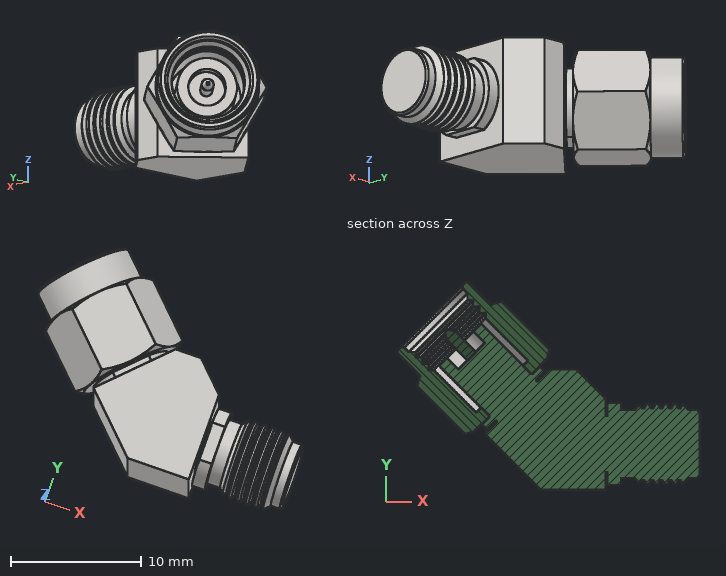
import cadquery as cq
import math

PLUG_ANGLE = 135.0

BLOCK_HEIGHT = 8.5
FACE_HALF_WIDTH = 3.5
JACK_FACE = 3.53
PLUG_FACE = 4.62

NECK_RADIUS = 2.18
NECK_LENGTH = 0.15
COLLAR_RADIUS = 3.15
COLLAR_FLAT = 2.76

THREAD_PITCH = 0.7
THREAD_MAJOR_RADIUS = 3.09

JACK_LENGTH = 7.25
JACK_COLLAR_END = 1.18
JACK_BARREL_RADIUS = 2.62
JACK_TIP_CHAMFER = 0.16
JACK_THREAD_START = 2.23
JACK_FIRST_CREST = 2.58
JACK_FIRST_CREST_RADIUS = 3.05
JACK_FIRST_ROOT = 2.88
JACK_GROOVES = 5
JACK_ROOT_RADIUS = 2.76
JACK_ROOT_FLAT = 0.15
JACK_GROOVE_MOUTH = 0.46

PLUG_COLLAR_END = 0.7
NUT_LENGTH = 8.57
HEX_LENGTH = 5.95
HEX_ACROSS_FLATS = 7.96
HEX_CHAMFER_ANGLE = 30.0
NUT_SLEEVE_RADIUS = 3.88
NUT_RIM_CHAMFER = 0.16
NUT_MOUTH_RADIUS = 3.4
NUT_MOUTH_CHAMFER = 0.2
NUT_COUNTERBORE_DEPTH = 0.7
NUT_BORE_RADIUS = 2.8
NUT_CREST_WIDTH = 0.19
NUT_FIRST_GROOVE = 1.11
NUT_GROOVES = 3
NUT_ROOT_FLAT = 0.1
NUT_BACK_WALL = 0.93

FERRULE_RADIUS = 2.3
FERRULE_FACE_DEPTH = 3.09
FERRULE_BORE_RADIUS = 1.45
FERRULE_BORE_DEPTH = 1.23
PIN_RADIUS = 0.46
PIN_TIP_RADIUS = 0.12
PIN_TIP_DEPTH = 1.5
PIN_TAPER_LENGTH = 0.55

NUT_BACK = PLUG_FACE + PLUG_COLLAR_END
NUT_RIM = NUT_BACK + NUT_LENGTH
FERRULE_FACE = NUT_RIM - FERRULE_FACE_DEPTH
FERRULE_FLOOR = FERRULE_FACE - FERRULE_BORE_DEPTH
PIN_TIP = NUT_RIM - PIN_TIP_DEPTH


def turned(profile):
    """Revolve a closed (axial, radius) outline about the X axis."""
    return cq.Workplane("XY").polyline(profile).close().revolve(360, (0, 0, 0), (1, 0, 0))


def rod(start, end, radius):
    """A cylinder on the X axis between two stations."""
    return cq.Workplane("YZ", origin=(start, 0, 0)).circle(radius).extrude(end - start)


def onto_plug_axis(body):
    """Turn a body built along +X onto the plug axis."""
    return body.rotate((0, 0, 0), (0, 0, 1), PLUG_ANGLE)


def collar(start, end):
    """A round collar with one flat above and one below."""
    slab_size = (end - start, 2 * COLLAR_RADIUS, 2 * COLLAR_FLAT)
    slab = cq.Workplane("XY").box(*slab_size).translate(((start + end) / 2, 0, 0))
    return rod(start, end, COLLAR_RADIUS).intersect(slab)


def groove(middle, mouth, root_flat, mouth_radius, root_radius):
    """Four outline points of one thread groove, in order along the axis."""
    return [
        (middle - mouth / 2, mouth_radius),
        (middle - root_flat / 2, root_radius),
        (middle + root_flat / 2, root_radius),
        (middle + mouth / 2, mouth_radius),
    ]


def make_block():
    """Prism whose two mounting faces stand square to the two axes."""
    angle = math.radians(PLUG_ANGLE)
    axis_x = math.cos(angle)
    axis_y = math.sin(angle)

    def plug_face_point(offset):
        return (PLUG_FACE * axis_x + offset * axis_y, PLUG_FACE * axis_y - offset * axis_x)

    upper_corner = plug_face_point(FACE_HALF_WIDTH)
    lower_corner = plug_face_point(-FACE_HALF_WIDTH)
    base_corner_x = lower_corner[0] - (lower_corner[1] + FACE_HALF_WIDTH) * axis_x / axis_y
    bevel = upper_corner[1] - FACE_HALF_WIDTH
    outline = [
        (JACK_FACE, -FACE_HALF_WIDTH),
        (JACK_FACE, FACE_HALF_WIDTH),
        (JACK_FACE - bevel, upper_corner[1]),
        upper_corner,
        lower_corner,
        (base_corner_x, -FACE_HALF_WIDTH),
    ]
    return cq.Workplane("XY").polyline(outline).close().extrude(BLOCK_HEIGHT / 2, both=True)


def make_jack():
    """Threaded jack: neck, collar, and a barrel with ring grooves."""
    neck_end = JACK_FACE + NECK_LENGTH
    collar_end = JACK_FACE + JACK_COLLAR_END
    tip = JACK_FACE + JACK_LENGTH
    profile = [
        (collar_end, 0),
        (collar_end, JACK_BARREL_RADIUS),
        (JACK_FACE + JACK_THREAD_START, JACK_BARREL_RADIUS),
        (JACK_FACE + JACK_FIRST_CREST, JACK_FIRST_CREST_RADIUS),
    ]
    for index in range(JACK_GROOVES):
        middle = JACK_FACE + JACK_FIRST_ROOT + index * THREAD_PITCH
        points = groove(middle, JACK_GROOVE_MOUTH, JACK_ROOT_FLAT, THREAD_MAJOR_RADIUS, JACK_ROOT_RADIUS)
        profile += points[1:] if index == 0 else points
    last_crest = profile[-1][0]
    profile += [
        (last_crest + THREAD_MAJOR_RADIUS - JACK_BARREL_RADIUS, JACK_BARREL_RADIUS),
        (tip - JACK_TIP_CHAMFER, JACK_BARREL_RADIUS),
        (tip, JACK_BARREL_RADIUS - JACK_TIP_CHAMFER),
        (tip, 0),
    ]
    return rod(JACK_FACE, neck_end, NECK_RADIUS).union(collar(neck_end, collar_end)).union(turned(profile))


def make_plug_stem():
    """Neck, collar and bored ferrule on the plug axis."""
    neck_end = PLUG_FACE + NECK_LENGTH
    stem = rod(PLUG_FACE, neck_end, NECK_RADIUS)
    stem = stem.union(collar(neck_end, NUT_BACK))
    stem = stem.union(rod(NUT_BACK, FERRULE_FACE, FERRULE_RADIUS))
    stem = stem.cut(rod(FERRULE_FLOOR, FERRULE_FACE, FERRULE_BORE_RADIUS))
    return onto_plug_axis(stem)


def make_housing():
    return make_block().union(make_jack()).union(make_plug_stem())


def make_nut_outside():
    """Hexagon with both ends chamfered, and a round sleeve in front of it."""
    hex_front = NUT_BACK + HEX_LENGTH
    apothem = HEX_ACROSS_FLATS / 2
    corner_radius = apothem / math.cos(math.pi / 6)
    setback = (corner_radius - apothem) * math.tan(math.radians(HEX_CHAMFER_ANGLE))
    hexagon = cq.Workplane("YZ", origin=(NUT_BACK, 0, 0)).polygon(6, 2 * corner_radius).extrude(HEX_LENGTH)
    chamfer_envelope = turned([
        (NUT_BACK, 0),
        (NUT_BACK, apothem),
        (NUT_BACK + setback, corner_radius),
        (hex_front - setback, corner_radius),
        (hex_front, apothem),
        (hex_front, 0),
    ])
    sleeve = rod(hex_front, NUT_RIM, NUT_SLEEVE_RADIUS).faces(">X").chamfer(NUT_RIM_CHAMFER)
    return hexagon.intersect(chamfer_envelope).union(sleeve)


def make_nut_cavity():
    """Space inside the nut: chamfered mouth, threaded bore, and ferrule hole."""
    counterbore_radius = NUT_MOUTH_RADIUS - NUT_MOUTH_CHAMFER
    groove_mouth = THREAD_PITCH - NUT_CREST_WIDTH
    cone_length = counterbore_radius - NUT_BORE_RADIUS
    depths = [
        (0, 0),
        (0, NUT_MOUTH_RADIUS),
        (NUT_MOUTH_CHAMFER, counterbore_radius),
        (NUT_COUNTERBORE_DEPTH, counterbore_radius),
        (NUT_COUNTERBORE_DEPTH + cone_length, NUT_BORE_RADIUS),
    ]
    for index in range(NUT_GROOVES):
        middle = NUT_FIRST_GROOVE + groove_mouth / 2 + index * THREAD_PITCH
        depths += groove(middle, groove_mouth, NUT_ROOT_FLAT, NUT_BORE_RADIUS, THREAD_MAJOR_RADIUS)
    depths += [
        (NUT_LENGTH - NUT_BACK_WALL, NUT_BORE_RADIUS),
        (NUT_LENGTH - NUT_BACK_WALL, FERRULE_RADIUS),
        (NUT_LENGTH, FERRULE_RADIUS),
        (NUT_LENGTH, 0),
    ]
    return turned([(NUT_RIM - depth, radius) for depth, radius in depths])


def make_nut():
    return onto_plug_axis(make_nut_outside().cut(make_nut_cavity()))


def make_pin():
    """Contact pin standing on the floor of the ferrule bore."""
    pin = turned([
        (FERRULE_FLOOR, 0),
        (FERRULE_FLOOR, PIN_RADIUS),
        (PIN_TIP - PIN_TAPER_LENGTH, PIN_RADIUS),
        (PIN_TIP, PIN_TIP_RADIUS),
        (PIN_TIP, 0),
    ])
    return onto_plug_axis(pin)


housing = make_housing()
nut = make_nut()
pin = make_pin()

result = cq.Compound.makeCompound([housing.val(), nut.val(), pin.val()])